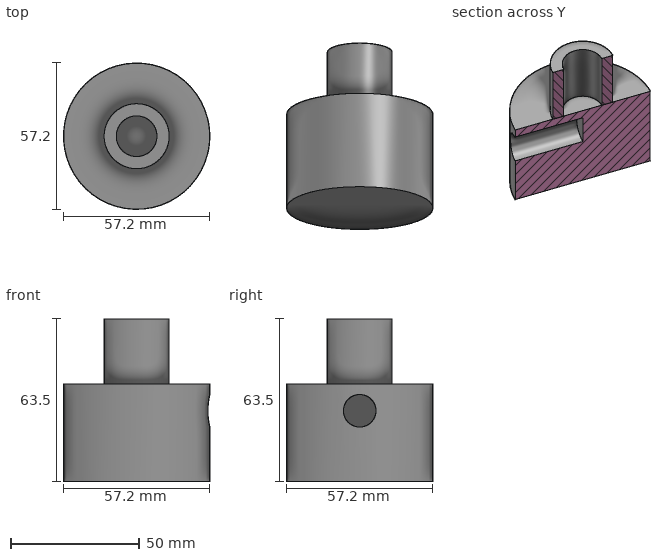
import cadquery as cq

base_diameter = 57.15
base_height = 38.1

overall_height = 63.5
tube_outer_diameter = 25.4
tube_bore_diameter = 15.9
tube_length = overall_height - base_height

port_diameter = 12.7
port_center_height = 27.6
port_depth = base_diameter / 2


def make_port_cutter():
    """Round cutter along X, from the +X side of the base inwards."""
    return (
        cq.Workplane("YZ", origin=(base_diameter / 2 - port_depth, 0, port_center_height))
        .circle(port_diameter / 2)
        .extrude(port_depth)
    )


def make_base():
    """Round block with the radial port in its side."""
    block = cq.Workplane("XY").circle(base_diameter / 2).extrude(base_height)
    return block.cut(make_port_cutter())


def make_tube():
    """Open tube resting on the base; the base top closes its lower end."""
    return (
        cq.Workplane("XY", origin=(0, 0, base_height))
        .circle(tube_outer_diameter / 2)
        .circle(tube_bore_diameter / 2)
        .extrude(tube_length)
    )


base = make_base()
tube = make_tube()

result = cq.Compound.makeCompound([base.val(), tube.val()])